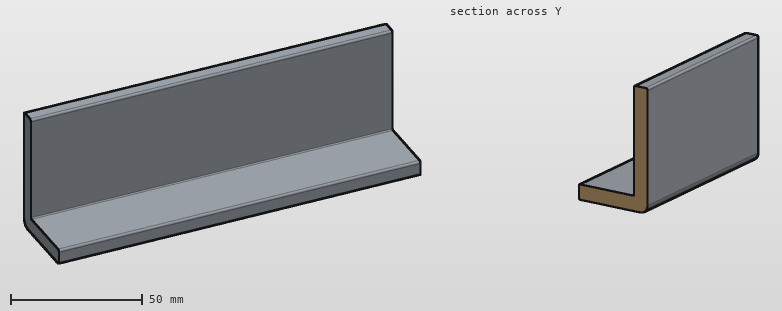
import cadquery as cq

length = 152.4
base_width = 31.7
wall_height = 50.7
thickness = 6.4

heel_radius = 3.5
inner_radius = 0.5
tip_radius = 0.9

section = (
    cq.Workplane("XZ")
    .polyline([
        (0, 0),
        (base_width, 0),
        (base_width, thickness),
        (thickness, thickness),
        (thickness, wall_height),
        (0, wall_height),
    ])
    .close()
)
bar = section.extrude(-length)


def fillet_long_edge(body, x, z, radius):
    """Round the lengthwise edge whose midpoint lies at the given X and Z."""
    midpoint = (x, length / 2, z)
    return body.edges(cq.selectors.NearestToPointSelector(midpoint)).fillet(radius)


bar = fillet_long_edge(bar, 0, 0, heel_radius)
bar = fillet_long_edge(bar, thickness, thickness, inner_radius)

bar = bar.faces(">X").edges("|Y").fillet(tip_radius)
bar = bar.faces(">Z").edges("|Y").fillet(tip_radius)

result = bar